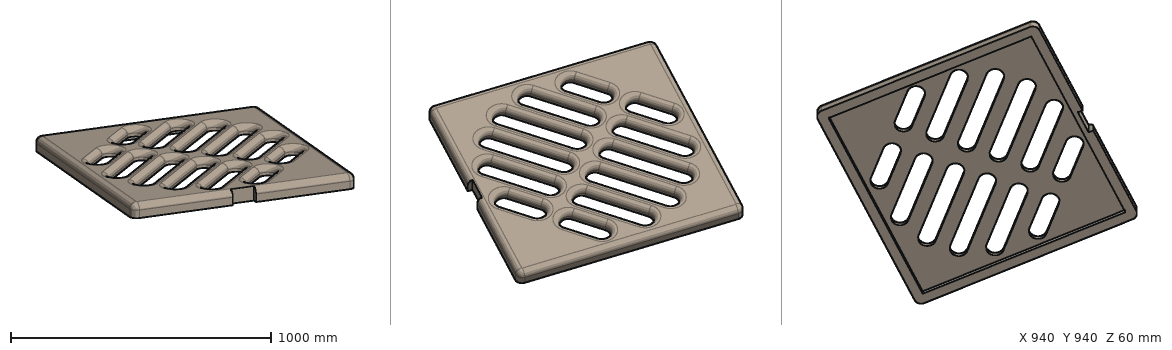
import cadquery as cq

side = 940.0
height = 60.0
wall = 40.0
corner_radius = 28.0
edge_radius = 26.0

slot_width = 70.0
slot_rim_radius = 25.0
row_pitch = 130.0
inner_arc_centre = row_pitch / 2
outer_arc_centres = (381.0, 330.0, 205.0)
slot_angle = -45.0

notch_width = 98.0
notch_depth = 20.0


def make_tray():
    """Square plate, rounded at its corners and top edge, hollowed from below."""
    block = cq.Workplane("XY").rect(side, side).extrude(height)
    block = block.edges("|Z").fillet(corner_radius)
    block = block.faces(">Z").edges().fillet(edge_radius)
    inside = side - 2 * wall
    recess = cq.Workplane("XY").rect(inside, inside).extrude(height - wall)
    return block.cut(recess)


def make_slots():
    """Bars with round ends that cut the slots, turned onto the diagonal."""
    slots = cq.Workplane("XY")
    for row, outer_arc_centre in enumerate(outer_arc_centres):
        across = (row + 0.5) * row_pitch
        along = (inner_arc_centre + outer_arc_centre) / 2
        length = outer_arc_centre - inner_arc_centre + slot_width
        centres = [(i * along, j * across) for i in (-1, 1) for j in (-1, 1)]
        slots = slots.pushPoints(centres).slot2D(length, slot_width).extrude(height)
    return slots.rotate((0, 0, 0), (0, 0, 1), slot_angle)


def round_slot_rims(cover):
    """Round the upper edge of every slot; the slots are the only openings in the top face."""
    openings = cover.faces(">Z").val().innerWires()
    rim_edges = [edge for opening in openings for edge in opening.Edges()]
    return cover.newObject(rim_edges).fillet(slot_rim_radius)


def make_notch():
    """Block that cuts the notch through the full height of the +X side."""
    notch = cq.Workplane("XY").rect(2 * notch_depth, notch_width).extrude(height)
    return notch.translate((side / 2, 0, 0))


cover = make_tray().cut(make_slots())
cover = round_slot_rims(cover)
result = cover.cut(make_notch())